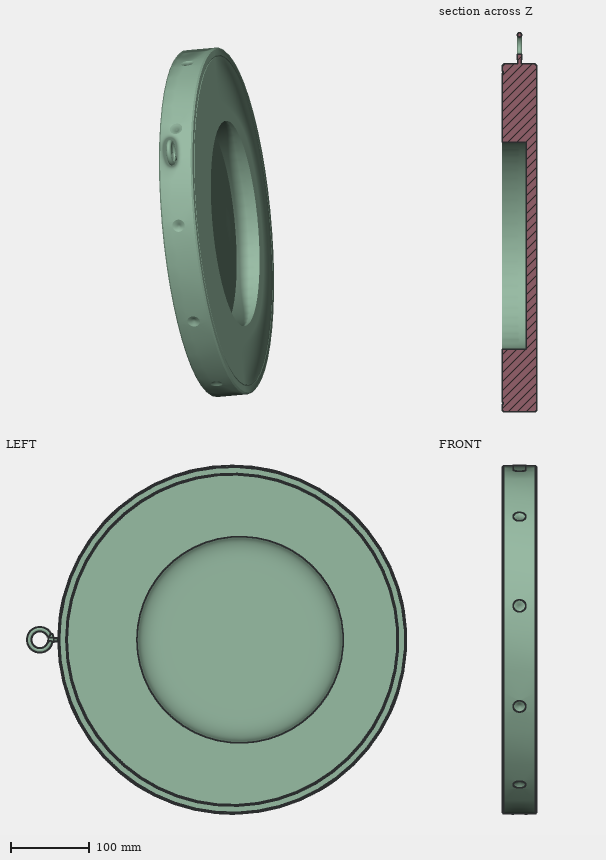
import cadquery as cq
import math

disc_diameter = 444.0
disc_thickness = 44.0
rim_chamfer = 2.0
disc_radius = disc_diameter / 2
near_face_x = -disc_thickness / 2

groove_outer_radius = 212.0
groove_width = 1.75
groove_depth = 1.0

recess_diameter = 263.0
recess_depth = 30.0
recess_offset_y = -10.0

dimple_diameter = 16.0
dimple_cone_angle = 120.0
dimple_depth = dimple_diameter / 2 / math.tan(math.radians(dimple_cone_angle / 2))
dimple_count = 9
dimple_first_angle = 45.0
dimple_sweep = -270.0
dimple_overlap = 1.0

pad_length = 114.0
pad_width = 16.0
pad_height = 0.2

wire_diameter = 6.0
stem_diameter = 5.0
stem_embed = 5.0
collar_diameter = 6.4
collar_start_y = 227.6
eye_tip_y = 261.67
eye_radius = 13.5
eye_gap_angle = 20.0
ball_diameter = 6.6
ball_center_y = 231.2
ball_center_z = 4.7
wire_radius = wire_diameter / 2
eye_center_y = eye_tip_y - eye_radius - wire_radius
ring_start_y = eye_center_y - eye_radius
collar_end_y = ring_start_y + wire_radius


def x_cylinder(radius, start_x, length, center_y=0.0):
    """Cylinder along +X starting at start_x."""
    return cq.Workplane("YZ", origin=(start_x, center_y, 0)).circle(radius).extrude(length)


def make_disc():
    disc = x_cylinder(disc_radius, near_face_x, disc_thickness)
    return disc.edges().chamfer(rim_chamfer)


def make_groove():
    outer = x_cylinder(groove_outer_radius, near_face_x, groove_depth)
    inner = x_cylinder(groove_outer_radius - groove_width, near_face_x, groove_depth)
    return outer.cut(inner)


def make_recess():
    return x_cylinder(recess_diameter / 2, near_face_x, recess_depth, recess_offset_y)


def make_dimple(angle):
    """Cone pointing at the disc axis; angle is measured from -Y towards +Z."""
    slope = math.tan(math.radians(dimple_cone_angle / 2))
    height = dimple_depth + dimple_overlap
    outward = cq.Vector(0, -math.cos(math.radians(angle)), math.sin(math.radians(angle)))
    base = outward * (disc_radius + dimple_overlap)
    return cq.Solid.makeCone(height * slope, 0, height, base, outward * -1)


def make_pad():
    pad_outline = cq.Workplane("XY").slot2D(pad_length, pad_width, 90).extrude(disc_diameter)
    return pad_outline.intersect(x_cylinder(disc_radius + pad_height, near_face_x, disc_thickness))


def y_cylinder(diameter, start_y, end_y):
    """Cylinder on the Y axis from start_y to end_y."""
    return cq.Workplane("XZ", origin=(0, start_y, 0)).circle(diameter / 2).extrude(start_y - end_y)


def make_eye():
    """Ring lying in the YZ plane, with its ball, collar and stem."""
    wire = cq.Workplane("XY", origin=(0, ring_start_y, 0)).circle(wire_radius)
    ring = wire.revolve(360 - eye_gap_angle, (0, eye_radius, 0), (1, eye_radius, 0))
    ball = cq.Workplane("XY", origin=(0, ball_center_y, ball_center_z)).sphere(ball_diameter / 2)
    collar = y_cylinder(collar_diameter, collar_start_y, collar_end_y)
    stem = y_cylinder(stem_diameter, disc_radius - stem_embed, collar_start_y)
    return ring.union(ball).union(collar).union(stem)


result = make_disc().union(make_pad()).cut(make_groove()).cut(make_recess())
for index in range(dimple_count):
    angle = dimple_first_angle + index * dimple_sweep / (dimple_count - 1)
    result = result.cut(cq.Workplane(make_dimple(angle)))
result = result.union(make_eye())